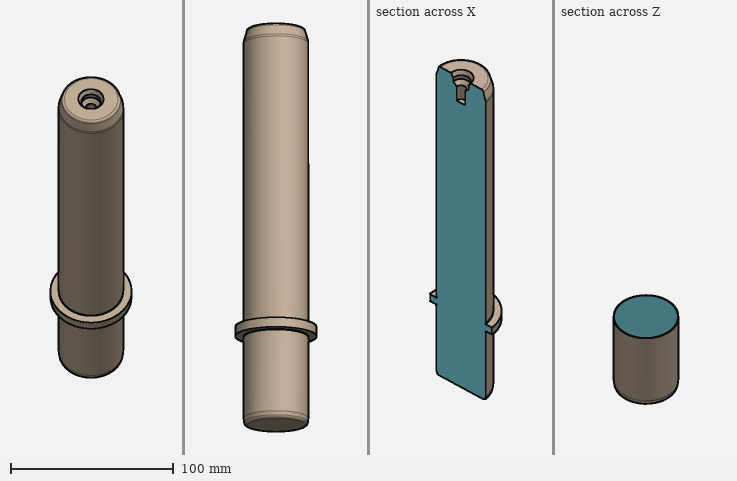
import cadquery as cq

length = 250.0
body_radius = 20.0

collar_radius = 25.0
collar_bottom = 56.0
collar_thickness = 6.0
collar_top = collar_bottom + collar_thickness

relief_width = 0.5
relief_depth = 0.2
relief_radius = body_radius - relief_depth

taper_length = 8.0
taper_tip_radius = 17.8
top_rounding = 1.8
shoulder_rounding = 5.0

lead_length = 4.2
lead_tip_radius = 19.5
bottom_rounding = 2.0

countersink_radius = 7.8
counterbore_radius = 6.0
hole_radius = 3.2
countersink_depth = 3.0
counterbore_bottom_depth = 6.0
cone_bottom_depth = 8.8
hole_depth = 20.0


def make_pin():
    """Revolve the outer half profile of the pin about the Z axis."""
    profile = (
        cq.Workplane("XZ")
        .lineTo(lead_tip_radius, 0)
        .lineTo(body_radius, lead_length)
        .lineTo(body_radius, collar_bottom - relief_width)
        .lineTo(relief_radius, collar_bottom - relief_width)
        .lineTo(relief_radius, collar_bottom)
        .lineTo(collar_radius, collar_bottom)
        .lineTo(collar_radius, collar_top)
        .lineTo(relief_radius, collar_top)
        .lineTo(relief_radius, collar_top + relief_width)
        .lineTo(body_radius, collar_top + relief_width)
        .lineTo(body_radius, length - taper_length)
        .lineTo(taper_tip_radius, length)
        .lineTo(0, length)
        .close()
    )
    pin = profile.revolve(360, (0, 0, 0), (0, 1, 0))
    shoulder_centre = (0, 0, length - taper_length)
    shoulder_edge = cq.selectors.NearestToPointSelector(shoulder_centre)
    pin = pin.edges(shoulder_edge).fillet(shoulder_rounding)
    pin = pin.faces(">Z").edges().fillet(top_rounding)
    return pin.faces("<Z").edges().fillet(bottom_rounding)


def make_centre_hole():
    """Revolve the half profile of the stepped hole, measured down from the top face."""
    profile = (
        cq.Workplane("XZ", origin=(0, 0, length))
        .lineTo(countersink_radius, 0)
        .lineTo(counterbore_radius, -countersink_depth)
        .lineTo(counterbore_radius, -counterbore_bottom_depth)
        .lineTo(hole_radius, -cone_bottom_depth)
        .lineTo(hole_radius, -hole_depth)
        .lineTo(0, -hole_depth)
        .close()
    )
    return profile.revolve(360, (0, 0, 0), (0, 1, 0))


result = make_pin().cut(make_centre_hole())